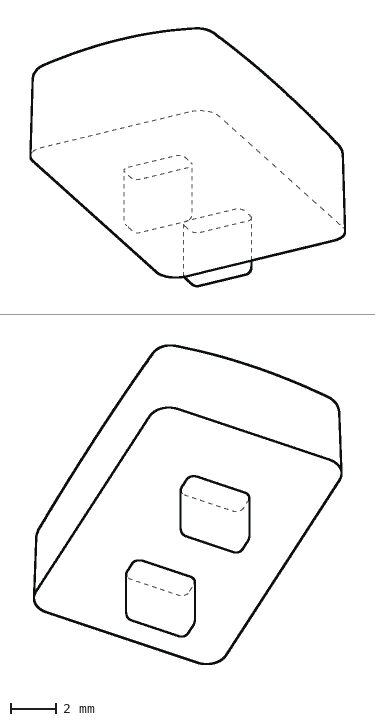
import cadquery as cq
import math

BODY_LENGTH = 13.73
BODY_WIDTH = 9.23
CORNER_RADIUS = 0.95
DRAFT_ANGLE = 1.5

CROWN_HEIGHT = 5.0
CROWN_RADIUS_X = 70.0
CROWN_RADIUS_Y = 20.0
TOP_FILLET = 0.5
ENVELOPE_MARGIN = 1.5

PIN_THICKNESS = 1.25
PIN_WIDTH = 3.0
PIN_LENGTH = 2.8
PIN_SPACING = 5.68
PIN_FILLET = 0.35
PIN_EMBED = 0.5


def drafted_block():
    """Rounded rectangle tapering upward, tall enough to be trimmed by the crown."""
    height = CROWN_HEIGHT + ENVELOPE_MARGIN
    outline = cq.Sketch().rect(BODY_LENGTH, BODY_WIDTH).vertices().fillet(CORNER_RADIUS)
    return cq.Workplane("XY").placeSketch(outline).extrude(height, taper=DRAFT_ANGLE)


def arc_drop(radius, half_span):
    """Distance an arc falls from its top to the ends of its half span."""
    return radius - math.sqrt(radius**2 - half_span**2)


def crown_envelope():
    """Block with a doubly curved top: a crosswise arch swept along a lengthwise arc."""
    half_length = BODY_LENGTH / 2 + ENVELOPE_MARGIN
    half_width = BODY_WIDTH / 2 + ENVELOPE_MARGIN
    end_height = CROWN_HEIGHT - arc_drop(CROWN_RADIUS_X, half_length)
    shoulder = -arc_drop(CROWN_RADIUS_Y, half_width)
    depth = CROWN_HEIGHT + ENVELOPE_MARGIN

    lengthwise_arc = (
        cq.Workplane("XZ")
        .moveTo(-half_length, end_height)
        .threePointArc((0, CROWN_HEIGHT), (half_length, end_height))
    )
    start_slope = math.asin(half_length / CROWN_RADIUS_X)
    arch_plane = cq.Plane(
        origin=(-half_length, 0, end_height),
        xDir=(0, 1, 0),
        normal=(math.cos(start_slope), 0, math.sin(start_slope)),
    )
    return (
        cq.Workplane(arch_plane)
        .moveTo(-half_width, -depth)
        .lineTo(-half_width, shoulder)
        .threePointArc((0, 0), (half_width, shoulder))
        .lineTo(half_width, -depth)
        .close()
        .sweep(lengthwise_arc)
    )


def cap_body():
    """Drafted block under the crown, with the rim of the crown rounded."""
    body = drafted_block().intersect(crown_envelope())
    return body.faces(">Z").edges().fillet(TOP_FILLET)


def pin(x_center):
    """Flat pin hanging from the base, rounded on its sides and its tip."""
    return (
        cq.Workplane("XY", origin=(x_center, 0, -PIN_LENGTH))
        .rect(PIN_THICKNESS, PIN_WIDTH)
        .extrude(PIN_LENGTH + PIN_EMBED)
        .edges("|Z")
        .fillet(PIN_FILLET)
        .faces("<Z")
        .edges()
        .fillet(PIN_FILLET)
    )


result = cap_body()
for side in (-1, 1):
    result = result.union(pin(side * PIN_SPACING / 2))